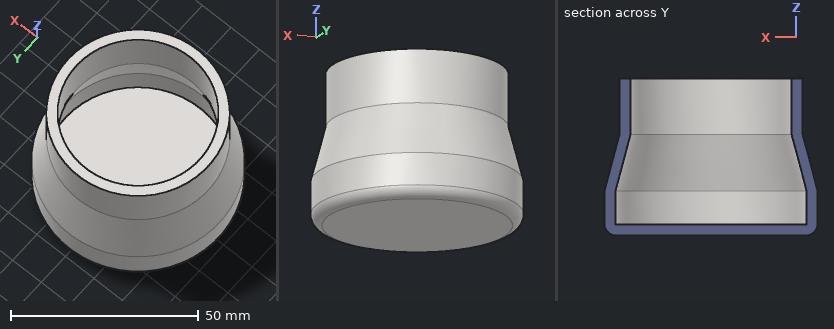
import cadquery as cq

base_diameter = 57.0
neck_diameter = 49.0
bore_diameter = 43.0
height = 42.0
neck_height = 15.0
taper_height = 15.0
bottom_radius = 3.0

wall = (neck_diameter - bore_diameter) / 2
floor_top = wall
base_top = height - neck_height - taper_height
taper_top = base_top + taper_height


def revolved_cup(lower_diameter, upper_diameter, bottom):
    """Solid of a straight base, a taper and a straight neck about Z."""
    lower_radius = lower_diameter / 2
    upper_radius = upper_diameter / 2
    profile = [
        (0, bottom),
        (lower_radius, bottom),
        (lower_radius, base_top),
        (upper_radius, taper_top),
        (upper_radius, height),
        (0, height),
    ]
    return cq.Workplane("XZ").polyline(profile).close().revolve(360, (0, 0, 0), (0, 1, 0))


body = revolved_cup(base_diameter, neck_diameter, 0)
body = body.faces("<Z").edges().fillet(bottom_radius)

cavity = revolved_cup(base_diameter - 2 * wall, bore_diameter, floor_top)

result = body.cut(cavity)